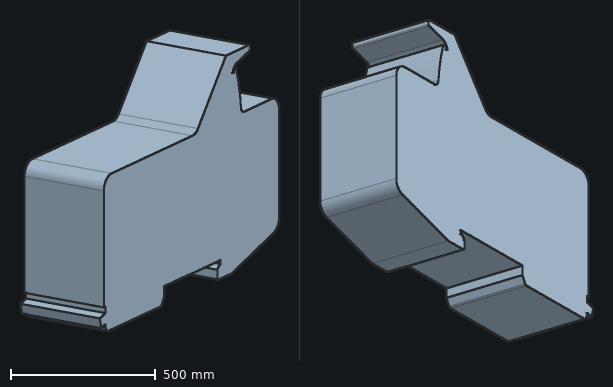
import cadquery as cq
import math

width = 325.0
length = 1165.0
height = 798.0

body_length = 1138.0
body_top = 565.0
body_radius = 50.0
slope_angle = math.radians(15.6)
slope_end = 308.0

nose_start = 190.0
nose_drop = 22.0
nose_angle = math.radians(15)
nose_radius = 6.0
nose_underside_end = 276.0
hook_arc_middle = (292.0, 741.0)
notch_end = 303.0
notch_start = 295.0
notch_floor = 723.0
grip_top = 734.0
grip_start = 278.0
grip_middle = (259.0, 658.0)
grip_base = (249.0, 588.0)
grip_foot_middle = (243.0, 573.0)
grip_foot_start = 231.0
ramp_start = 346.0
ramp_angle = math.radians(50)
ramp_radius = 47.0

channel_start = 381.0
channel_end = 746.0
channel_height = 68.0
lip_end = 402.0
lip_top = 38.0
lip_root = 54.0
lip_arc_middle = (394.0, 48.0)
lip_radius = 7.0
lead_in_height = 31.0
lead_in_angle = math.radians(60)
lead_in_radius = 9.0

recess_end = 1129.0
recess_top = 93.0
latch_top = 60.0
latch_thickness = 40.0
latch_angle = math.radians(15)
foot_end = 1111.0
foot_corner_height = 20.0
foot_corner_middle = (1121.0, 7.0)


def at(distance, z):
    """Profile point at a distance from the +Y end."""
    return (-distance, z)


def round_edges(solid, radius, corners):
    """Fillet the full-width edges that pass through the given corners."""
    for distance, z in corners:
        edge = cq.selectors.NearestToPointSelector((0, -distance, z))
        solid = solid.edges("|X").edges(edge).fillet(radius)
    return solid


slope_start_height = slope_end * math.tan(slope_angle)
nose_bottom = height - nose_drop
nose_underside_height = nose_bottom - (nose_underside_end - nose_start) * math.tan(nose_angle)
ramp_end = ramp_start + (height - body_top) / math.tan(ramp_angle)
lead_in_end = channel_end + lead_in_height / math.tan(lead_in_angle)
latch_tip_end = length - latch_thickness * math.sin(latch_angle)
latch_tip_bottom = latch_top - latch_thickness * math.cos(latch_angle)
latch_root_top = latch_top + (length - recess_end) * math.tan(latch_angle)
latch_root_bottom = latch_tip_bottom + (latch_tip_end - recess_end) * math.tan(latch_angle)

profile = (
    cq.Workplane("YZ", origin=(-width / 2, 0, 0))
    .moveTo(*at(0, slope_start_height))
    .lineTo(*at(0, body_top))
    .lineTo(*at(grip_foot_start, body_top))
    .threePointArc(at(*grip_foot_middle), at(*grip_base))
    .threePointArc(at(*grip_middle), at(grip_start, grip_top))
    .lineTo(*at(notch_start, grip_top))
    .lineTo(*at(notch_start, notch_floor))
    .lineTo(*at(notch_end, notch_floor))
    .threePointArc(at(*hook_arc_middle), at(nose_underside_end, nose_underside_height))
    .lineTo(*at(nose_start, nose_bottom))
    .lineTo(*at(nose_start, height))
    .lineTo(*at(ramp_start, height))
    .lineTo(*at(ramp_end, body_top))
    .lineTo(*at(body_length, body_top))
    .lineTo(*at(body_length, recess_top))
    .lineTo(*at(recess_end, recess_top))
    .lineTo(*at(recess_end, latch_root_top))
    .lineTo(*at(length, latch_top))
    .lineTo(*at(latch_tip_end, latch_tip_bottom))
    .lineTo(*at(recess_end, latch_root_bottom))
    .lineTo(*at(recess_end, foot_corner_height))
    .threePointArc(at(*foot_corner_middle), at(foot_end, 0))
    .lineTo(*at(lead_in_end, 0))
    .lineTo(*at(channel_end, lead_in_height))
    .lineTo(*at(channel_end, channel_height))
    .lineTo(*at(channel_start, channel_height))
    .lineTo(*at(channel_start, lip_root))
    .threePointArc(at(*lip_arc_middle), at(lip_end, lip_top))
    .lineTo(*at(lip_end, 0))
    .lineTo(*at(slope_end, 0))
    .close()
)

result = profile.extrude(width)
body_corners = [(0, slope_start_height), (0, body_top), (body_length, body_top)]
result = round_edges(result, body_radius, body_corners)
result = round_edges(result, ramp_radius, [(ramp_end, body_top)])
result = round_edges(result, nose_radius, [(nose_start, nose_bottom), (nose_start, height)])
result = round_edges(result, lip_radius, [(lip_end, 0)])
result = round_edges(result, lead_in_radius, [(lead_in_end, 0)])
result = result.translate((0, length / 2, 0))